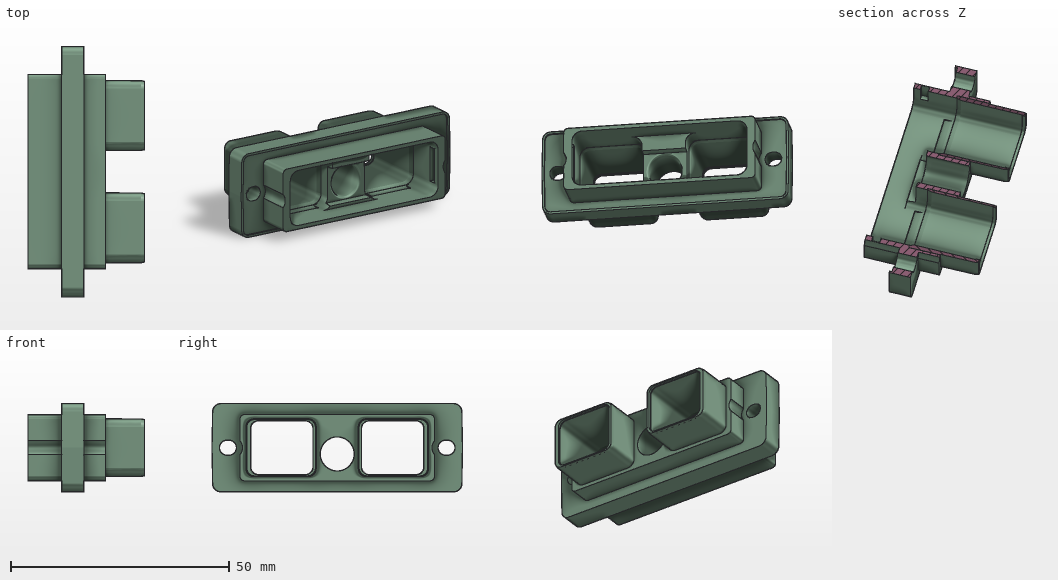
import cadquery as cq

web_front_x = 5.55
web_pocket_x = 7.5
flange_front_x = 7.7
flange_back_x = 12.8
collar_back_x = 17.8
sleeve_front_x = 10.3
sleeve_tip_x = 26.7

flange_length = 57.4
flange_height = 20.25
flange_end_drop = 0.2
flange_corner_radius = 1.95
rim_width = 0.5
rim_depth = 0.5

collar_length = 44.55
collar_height = 15.15
collar_corner_radius = 1.05
notch_radius = 2.5
notch_depth = 0.6

screw_y = 25.05
screw_slot_length = 3.85
screw_slot_height = 3.4

bore_y = 12.7
bore_width = 15.25
bore_height = 13.3
bore_corner_radius = 2.3
cavity_length = 2 * bore_y + bore_width

end_slot_front_x = 1.6
end_slot_back_x = 3.45
end_slot_depth = 1.1
end_slot_height = 8.25
floor_groove_front_x = 7.9
floor_groove_back_x = 9.65
floor_groove_depth = 0.5

web_hole_z = -1.45
web_hole_diameter = 7.75
web_hole_rounding = 0.5
web_pocket_height = 9.0
web_pocket_taper = 4.5

sleeve_y = 12.85
sleeve_width = 16.2
sleeve_height = 13.4
sleeve_corner_radius = 1.95
sleeve_draft_angle = 0.3
entry_length = 1.15
entry_inset = 0.35
window_inset = 0.5
window_lip_length = 0.75
tip_chamfer_length = 0.75
tip_chamfer_width = 0.2

flat_half_width = bore_width / 2 - bore_corner_radius


def section(x):
    """Workplane across the part at x, with local axes along Y and Z."""
    return cq.Workplane("YZ", origin=(x, 0, 0))


def rounded_rectangle(width, height, radius):
    return cq.Sketch().rect(width, height).vertices().fillet(radius)


def rounded_bar(x, length, y, width, height, radius, taper=0):
    """Bar along X with rounded corners, narrowing by the taper angle in degrees."""
    outline = rounded_rectangle(width, height, radius)
    return section(x).center(y, 0).placeSketch(outline).extrude(length, taper=taper)


def bore_outline(inset):
    """Outline of a bore, moved inwards by inset."""
    return rounded_rectangle(
        bore_width - 2 * inset, bore_height - 2 * inset, bore_corner_radius - inset)


def bore_bar(side, front_x, back_x, inset):
    """Straight length of a bore, its outline moved inwards by inset."""
    outline = bore_outline(inset)
    return section(front_x).center(side * bore_y, 0).placeSketch(outline).extrude(back_x - front_x)


def block(x_range, y_range, z_range):
    """Box between the given limits."""
    lows, highs = zip(x_range, y_range, z_range)
    size = [high - low for low, high in zip(lows, highs)]
    return cq.Workplane("XY").box(*size, centered=False).translate(lows)


def flange_plate(inset, x, thickness):
    """Plate with shallow pointed ends, its outline moved inwards by inset."""
    half_length = flange_length / 2 - inset
    half_height = flange_height / 2 - inset
    corner_y = half_length - flange_end_drop
    plate = (
        section(x)
        .polyline([
            (half_length, 0), (corner_y, half_height), (-corner_y, half_height),
            (-half_length, 0), (-corner_y, -half_height), (corner_y, -half_height),
        ])
        .close()
        .extrude(thickness)
    )
    corners = plate.edges("|X").edges(">Z or <Z")
    return corners.fillet(flange_corner_radius - inset)


def flange():
    plate = flange_plate(0, flange_front_x, flange_back_x - flange_front_x)
    recess = flange_plate(rim_width, flange_front_x, rim_depth)
    screw_slots = (
        section(flange_front_x)
        .pushPoints([(-screw_y, 0), (screw_y, 0)])
        .slot2D(screw_slot_length, screw_slot_height)
        .extrude(flange_back_x - flange_front_x)
    )
    return plate.cut(recess).cut(screw_slots)


def collar():
    notch_y = collar_length / 2 - notch_depth + notch_radius
    notches = (
        section(0)
        .pushPoints([(-notch_y, 0), (notch_y, 0)])
        .circle(notch_radius)
        .extrude(collar_back_x)
    )
    body = rounded_bar(0, collar_back_x, 0, collar_length, collar_height, collar_corner_radius)
    return body.cut(notches)


def web_opening():
    """Pocket in the web and the round hole behind it, with a rounded mouth."""
    pocket = (
        section(web_front_x)
        .center(0, web_hole_z)
        .rect(2 * (bore_y - flat_half_width), web_pocket_height)
        .extrude(web_pocket_x - web_front_x, taper=web_pocket_taper)
    )
    radius = web_hole_diameter / 2
    hole_profile = (
        cq.Workplane("XY", origin=(0, 0, web_hole_z))
        .moveTo(web_pocket_x, 0)
        .lineTo(web_pocket_x, radius + web_hole_rounding)
        .radiusArc((web_pocket_x + web_hole_rounding, radius), -web_hole_rounding)
        .lineTo(collar_back_x, radius)
        .lineTo(collar_back_x, 0)
        .close()
    )
    hole = hole_profile.revolve(360, (0, 0, 0), (1, 0, 0))
    return pocket.union(hole)


def end_slot(side):
    """Latch slot in one end wall of the cavity."""
    wall_y = cavity_length / 2
    slot = block(
        (end_slot_front_x, end_slot_back_x),
        (0, wall_y + end_slot_depth),
        (-end_slot_height / 2, end_slot_height / 2),
    )
    return slot if side > 0 else slot.mirror("XZ")


def floor_groove(side):
    """Ramped latch groove across the flat floor of one bore, deepest at its front."""
    floor_z = -bore_height / 2
    return (
        cq.Workplane("XZ", origin=(0, side * bore_y, 0))
        .polyline([
            (floor_groove_front_x, floor_z - floor_groove_depth),
            (floor_groove_back_x, floor_z),
            (floor_groove_back_x, 0),
            (floor_groove_front_x, 0),
        ])
        .close()
        .extrude(flat_half_width, both=True)
    )


def sleeve_envelope(side):
    """Outside of a sleeve, without its tip chamfer."""
    return rounded_bar(
        sleeve_front_x, sleeve_tip_x - sleeve_front_x, side * sleeve_y,
        sleeve_width, sleeve_height, sleeve_corner_radius, sleeve_draft_angle,
    )


def make_housing():
    body = flange().union(collar())
    body = body.cut(rounded_bar(0, web_front_x, 0, cavity_length, bore_height, bore_corner_radius))
    for side in (-1, 1):
        body = body.cut(bore_bar(side, 0, sleeve_front_x, 0))
        body = body.cut(sleeve_envelope(side))
        body = body.cut(end_slot(side))
        body = body.cut(floor_groove(side))
    return body.cut(web_opening())


def make_sleeve(side):
    """Rectangular sleeve seated behind a bore, its entry narrowing to the window."""
    entry = (
        section(sleeve_front_x)
        .center(side * bore_y, 0)
        .placeSketch(
            bore_outline(0),
            bore_outline(entry_inset).moved(cq.Location(cq.Vector(0, 0, entry_length))),
        )
        .loft()
    )
    tunnel = bore_bar(side, sleeve_front_x, sleeve_tip_x - window_lip_length, entry_inset)
    window = bore_bar(side, sleeve_front_x, sleeve_tip_x, window_inset)
    body = sleeve_envelope(side).faces(">X").chamfer(tip_chamfer_length, tip_chamfer_width)
    return body.cut(entry).cut(tunnel).cut(window)


housing = make_housing()
sleeves = [make_sleeve(side) for side in (-1, 1)]

result = cq.Compound.makeCompound([housing.val(), *[sleeve.val() for sleeve in sleeves]])